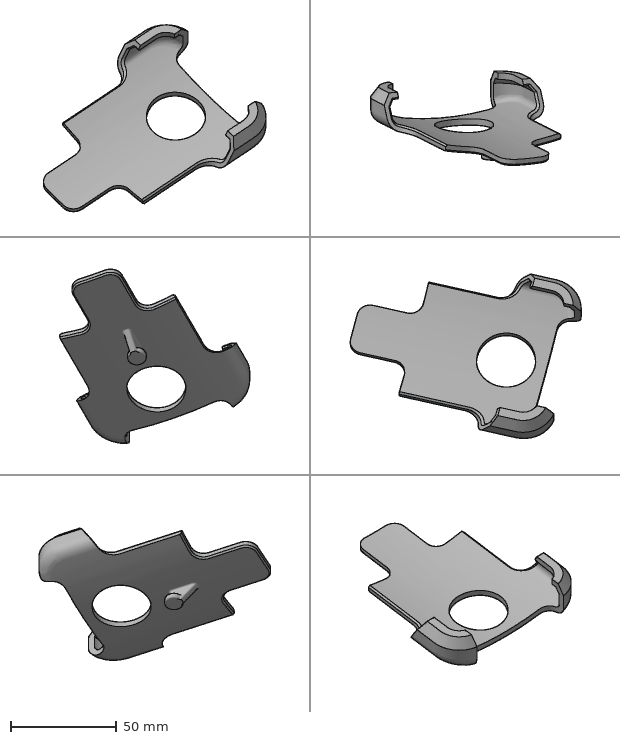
import cadquery as cq
import math

WIDTH = 81.58
TOP_Z = 21.75
BACK_Y = 30.3
TAB_END_Y = -74.6
WALL = 3.175
PLATE_RADIUS = 140.0
FILLET_RADIUS = 6.35

CORNER_RADIUS = 15.875
TOP_BEVEL_HEIGHT = 5.08
TOP_BEVEL_INSET = 3.9
LIP_WIDTH = 8.2
BACK_SLOT_HALF_WIDTH = 27.45
PLATE_BACK_Y = 19.7

MOUTH_TOP_Y = 5.0
MOUTH_ANGLE = 60.0
SIDE_X = 30.1
LIP_CUT_Z = 12.0
MOUTH_CHAMFER = 1.0

HOLE_DIAMETER = 28.1
SHOULDER_Y = -45.2
TAB_HALF_WIDTH = 12.75
UNDERSIDE_CHAMFER = 0.8

STUD_X = 1.86
STUD_Y = -26.6
STUD_BOTTOM_Z = -7.21
HEAD_RADIUS = 4.45
HEAD_HEIGHT = 3.0
HEAD_TOP_CHAMFER = 0.3
HEAD_BOTTOM_RADIUS = 0.8
NECK_RADIUS = 1.83
RAMP_BOTTOM_Y = STUD_Y - HEAD_RADIUS
RAMP_LENGTH = 8.25
RAMP_TOP_Y = RAMP_BOTTOM_Y - RAMP_LENGTH
RAMP_EDGE_RADIUS = 1.0
NECK_ROOT_RADIUS = 0.8
HEAD_SIDE_RADIUS = 0.8

HALF_WIDTH = WIDTH / 2
CLEARANCE = 30.0
BEYOND = 5 * WIDTH
CUT_HEIGHT = TOP_Z + 2 * CLEARANCE
TOUCH = 0.001


def both_sides(body):
    """A body together with its mirror image across X = 0."""
    return body.union(body.mirror("YZ"))


def edges_on(body, first, second):
    """Edges of a body that lie on the surfaces of two other bodies."""
    skins = [cq.Compound.makeCompound(cutter.faces().vals()) for cutter in (first, second)]

    def lies_on_both(edge):
        points = [cq.Vertex.makeVertex(*edge.positionAt(t).toTuple()) for t in (0.25, 0.5, 0.75)]
        return all(point.distance(skin) < TOUCH for skin in skins for point in points)

    return body.newObject([edge for edge in body.edges().vals() if lies_on_both(edge)])


def plan_prism(inset, bottom_z, top_z, taper=0):
    """Prism of the cradle outline moved inwards, rounded at the back and longer than the part in front."""
    side_x = HALF_WIDTH - inset
    back_y = BACK_Y - inset
    front_y = TAB_END_Y - CLEARANCE
    radius = CORNER_RADIUS - inset
    return (
        cq.Workplane("XY", origin=(0, 0, bottom_z))
        .moveTo(-side_x, front_y)
        .lineTo(side_x, front_y)
        .lineTo(side_x, back_y - radius)
        .tangentArcPoint((side_x - radius, back_y), relative=False)
        .lineTo(radius - side_x, back_y)
        .tangentArcPoint((-side_x, back_y - radius), relative=False)
        .close()
        .extrude(top_z - bottom_z, taper=taper)
    )


def cradle_body(inset):
    """Solid bounded by the cradle surface moved inwards: bevelled top, round lower edge, curved base."""
    bevel_angle = math.atan2(TOP_BEVEL_INSET, TOP_BEVEL_HEIGHT)
    bevel_bottom_z = TOP_Z - TOP_BEVEL_HEIGHT - inset * math.tan(bevel_angle / 2)
    walls = plan_prism(inset, -CLEARANCE, bevel_bottom_z)
    bevel = plan_prism(inset, bevel_bottom_z, TOP_Z - inset, math.degrees(bevel_angle))
    floor = (
        cq.Workplane("XZ", origin=(0, BACK_Y + CLEARANCE, PLATE_RADIUS))
        .circle(PLATE_RADIUS - inset)
        .extrude(BACK_Y - TAB_END_Y + 3 * CLEARANCE)
    )
    body = walls.intersect(floor).union(bevel)
    lower_rim = [edge for edge in edges_on(body, walls, floor).vals() if edge.Center().y > TAB_END_Y]
    return body.newObject(lower_rim).fillet(FILLET_RADIUS - inset)


def lip_opening():
    """Opening in the roof of the cradle that leaves a lip along its walls."""
    return plan_prism(LIP_WIDTH, LIP_CUT_Z, TOP_Z + CLEARANCE)


def sharp_above_lip(sharp, rounded):
    """Cut that is rounded at the plate but keeps its sharp corners through the lip."""
    upper_space = cq.Workplane("XY", origin=(0, 0, LIP_CUT_Z)).rect(BEYOND, BEYOND).extrude(BEYOND)
    return rounded.union(sharp.intersect(upper_space))


def back_slot():
    """Slot from the back that separates the two horns."""
    sharp = (
        cq.Workplane("XY", origin=(0, PLATE_BACK_Y + CLEARANCE / 2, -CLEARANCE))
        .rect(2 * BACK_SLOT_HALF_WIDTH, CLEARANCE)
        .extrude(CUT_HEIGHT)
    )
    rounded = sharp.edges("|Z and <Y").fillet(FILLET_RADIUS)
    return sharp_above_lip(sharp, rounded)


def mouth_cut():
    """Material in front of one horn: a slope that blends into the straight plate side below."""
    slope = math.radians(MOUTH_ANGLE)
    slope_plane = cq.Plane(
        origin=(SIDE_X, MOUTH_TOP_Y, TOP_Z),
        xDir=(1, 0, 0),
        normal=(0, -math.cos(slope), -math.sin(slope)),
    )
    reach = 2 * CLEARANCE - TAB_END_Y
    sharp = cq.Workplane(slope_plane).rect(reach, reach, centered=False).extrude(reach, both=True)
    inner_edge = cq.selectors.NearestToPointSelector(slope_plane.origin.toTuple())
    rounded = sharp.edges(inner_edge).fillet(FILLET_RADIUS)
    return sharp_above_lip(sharp, rounded)


def plate_front():
    """Material around the tab at the front of the plate, with rounded inner and outer tab corners."""
    tab_length = SHOULDER_Y - TAB_END_Y
    blank_length = tab_length + CLEARANCE
    blank = (
        cq.Workplane("XY", origin=(0, SHOULDER_Y - blank_length / 2, -CLEARANCE))
        .rect(WIDTH + CLEARANCE, blank_length)
        .extrude(CUT_HEIGHT)
    )
    tab = (
        cq.Workplane("XY", origin=(0, SHOULDER_Y - tab_length / 2, -CLEARANCE))
        .rect(2 * TAB_HALF_WIDTH, tab_length)
        .extrude(CUT_HEIGHT)
    )
    blank = blank.cut(tab)
    tab_corners = [edge for edge in blank.edges("|Z").vals() if abs(edge.Center().x) < HALF_WIDTH]
    return blank.newObject(tab_corners).fillet(FILLET_RADIUS)


def stud():
    """Round head on a rounded neck whose front is a ramp rising to the plate."""
    head = (
        cq.Workplane("XY", origin=(STUD_X, STUD_Y, STUD_BOTTOM_Z))
        .circle(HEAD_RADIUS)
        .extrude(HEAD_HEIGHT)
        .edges(">Z")
        .chamfer(HEAD_TOP_CHAMFER)
        .faces("<Z")
        .edges()
        .fillet(HEAD_BOTTOM_RADIUS)
    )
    neck_top_z = WALL / 2
    ramp_run_per_rise = RAMP_LENGTH / -STUD_BOTTOM_Z
    ramp_end_y = RAMP_TOP_Y - neck_top_z * ramp_run_per_rise
    neck = (
        cq.Workplane("YZ", origin=(STUD_X - NECK_RADIUS, 0, 0))
        .moveTo(STUD_Y + NECK_RADIUS, STUD_BOTTOM_Z)
        .lineTo(STUD_Y + NECK_RADIUS, neck_top_z)
        .lineTo(ramp_end_y, neck_top_z)
        .lineTo(RAMP_BOTTOM_Y, STUD_BOTTOM_Z)
        .close()
        .extrude(2 * NECK_RADIUS)
    )
    neck = neck.edges("|Z").fillet(NECK_RADIUS - TOUCH)
    neck = neck.faces("<Y").edges("not |X").fillet(RAMP_EDGE_RADIUS)
    joint = head.union(neck)
    return edges_on(joint, head, neck).edges("|Z").fillet(HEAD_SIDE_RADIUS)


outer = cradle_body(0)
inner = cradle_body(WALL)
mouths = both_sides(mouth_cut())
shell = outer.cut(inner).cut(lip_opening()).cut(mouths)
shell = edges_on(shell, inner, mouths).chamfer(MOUTH_CHAMFER)

front = plate_front()
hole = cq.Workplane("XY").circle(HOLE_DIAMETER / 2).extrude(CLEARANCE, both=True)
plate = shell.cut(front)
plate = edges_on(plate, outer, front).chamfer(UNDERSIDE_CHAMFER)
plate = plate.cut(back_slot()).cut(hole)

plate_stud = stud()
joined = plate.union(plate_stud)
result = edges_on(joined, plate_stud, outer).fillet(NECK_ROOT_RADIUS)